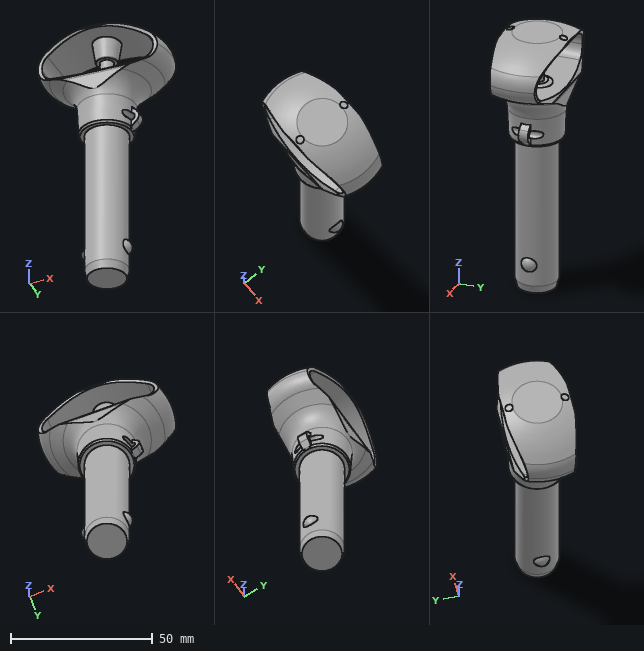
import cadquery as cq
import math


shank_radius = 8.0
shank_length = 59.0
tip_radius = 7.1
tip_height = 3.3
ball_radius = 3.1
ball_reach = 9.6
ball_height = -47.7

collar_height = 11.4
collar_top_radius = 10.65
collar_bottom_radius = 10.15
collar_chamfer_width = 0.55
collar_chamfer_height = 0.85

handle_top = 40.5
crown_flat_radius = 9.0
crown_mid = (16.4, handle_top - 2.88)
shoulder_edge = (22.2, handle_top - 6.7)
shoulder_mid = (23.9, handle_top - 9.1)
rim_radius = 24.5
rim_height = handle_top - 12.1
rim_lower_mid = (23.45, handle_top - 15.8)
rim_lower_edge = (20.4, handle_top - 18.4)
neck_edge = (15.6, handle_top - 21.3)
neck_mid = (12.35, handle_top - 24.5)

handle_half_depth = 12.4
grip_hollow_radius = 17.5
waist_half_depth = 8.5
waist_height = handle_top - 12.7
hollow_end_height = handle_top - 17.2
envelope_half_length = 25.5
lip_half_depth = 11.55
lip_top = handle_top - 19.9
lip_bottom = handle_top - 20.5
cheek_half_depth = 11.15

window_top = handle_top - 2.0
window_top_radius = 34.0
window_bottom = handle_top - 19.5
window_bottom_radius = 73.0
window_half_width = 21.3
window_side_height = handle_top - 12.7
window_upper_x = 19.0
window_side_upper_mid = (20.95, handle_top - 10.0)
window_lower_x = 17.7
window_side_lower_mid = (20.45, handle_top - 15.3)

stem_radius = 2.55
button_top_radius = 5.25
button_bottom_radius = 4.1
button_top = handle_top - 2.3
button_bottom = handle_top - 10.1
button_chamfer_width = 0.2
button_chamfer_height = 0.5
seat_bottom_radius = 5.7
seat_top_radius = 4.0
seat_top = handle_top - 18.6
joint_overlap = 1.0

crown_socket_radius = 1.4
crown_socket_offset = 10.15
crown_socket_floor_height = handle_top - 0.42
crown_socket_tilt = 15.0
crown_socket_cut_length = 1.2

lug_center = (9.95, 5.0)
lug_radius = 3.1
lug_hole_radius = 1.5
lug_thickness = 3.6


def arc_height(radius, half_chord):
    """Sagitta of an arc at a given distance from its middle."""
    return radius - math.sqrt(radius**2 - half_chord**2)


def mirrored(point):
    x, z = point
    return (-x, z)


def make_shank():
    shank = (
        cq.Workplane("XZ")
        .moveTo(0, -shank_length)
        .lineTo(tip_radius, -shank_length)
        .lineTo(shank_radius, tip_height - shank_length)
        .lineTo(shank_radius, collar_height)
        .lineTo(0, collar_height)
        .close()
        .revolve(360, (0, 0, 0), (0, 1, 0))
    )
    for side in (-1, 1):
        center = (side * (ball_reach - ball_radius), 0, ball_height)
        shank = shank.union(cq.Workplane("XY").sphere(ball_radius).translate(center))
    return shank


def make_handle_blank():
    """Collar and handle as one body of revolution."""
    return (
        cq.Workplane("YZ")
        .moveTo(0, 0)
        .lineTo(collar_bottom_radius - collar_chamfer_width, 0)
        .lineTo(collar_bottom_radius, collar_chamfer_height)
        .lineTo(collar_top_radius, collar_height)
        .threePointArc(neck_mid, neck_edge)
        .lineTo(*rim_lower_edge)
        .threePointArc(rim_lower_mid, (rim_radius, rim_height))
        .threePointArc(shoulder_mid, shoulder_edge)
        .threePointArc(crown_mid, (crown_flat_radius, handle_top))
        .lineTo(0, handle_top)
        .close()
        .revolve(360, (0, 0, 0), (0, 1, 0))
    )


def make_side_envelope():
    """Prism along X whose YZ section gives the hollowed front and back of the handle."""
    def hollow_half_depth(height):
        return waist_half_depth + arc_height(grip_hollow_radius, height - waist_height)

    hollow_depth_gain = handle_half_depth - waist_half_depth
    hollow_top = waist_height + math.sqrt(
        grip_hollow_radius**2 - (grip_hollow_radius - hollow_depth_gain) ** 2
    )
    hollow_end = (hollow_half_depth(hollow_end_height), hollow_end_height)
    half_section = (
        cq.Workplane("YZ")
        .moveTo(0, 0)
        .lineTo(cheek_half_depth, 0)
        .lineTo(cheek_half_depth, collar_height)
        .lineTo(lip_half_depth, lip_bottom)
        .lineTo(lip_half_depth, lip_top)
        .lineTo(*hollow_end)
        .threePointArc((waist_half_depth, waist_height), (handle_half_depth, hollow_top))
        .lineTo(handle_half_depth, handle_top)
        .lineTo(0, handle_top)
        .close()
        .extrude(envelope_half_length, both=True)
    )
    return half_section.union(half_section.mirror("XZ"))


def make_window():
    upper_z = window_top - arc_height(window_top_radius, window_upper_x)
    lower_z = window_bottom + arc_height(window_bottom_radius, window_lower_x)
    return (
        cq.Workplane("XZ")
        .moveTo(-window_upper_x, upper_z)
        .threePointArc((0, window_top), (window_upper_x, upper_z))
        .threePointArc(window_side_upper_mid, (window_half_width, window_side_height))
        .threePointArc(window_side_lower_mid, (window_lower_x, lower_z))
        .threePointArc((0, window_bottom), (-window_lower_x, lower_z))
        .threePointArc(mirrored(window_side_lower_mid), (-window_half_width, window_side_height))
        .threePointArc(mirrored(window_side_upper_mid), (-window_upper_x, upper_z))
        .close()
        .extrude(handle_half_depth, both=True)
    )


def make_button():
    """Seat, stem and button, joined from below the window to the crown."""
    seat_base = window_bottom - joint_overlap
    crown_embed = window_top + joint_overlap
    return (
        cq.Workplane("XZ")
        .moveTo(0, seat_base)
        .lineTo(seat_bottom_radius, seat_base)
        .lineTo(seat_bottom_radius, window_bottom)
        .lineTo(seat_top_radius, seat_top)
        .lineTo(stem_radius, seat_top)
        .lineTo(stem_radius, button_bottom)
        .lineTo(button_bottom_radius - button_chamfer_width, button_bottom)
        .lineTo(button_bottom_radius, button_bottom + button_chamfer_height)
        .lineTo(button_top_radius, button_top)
        .lineTo(button_top_radius, crown_embed)
        .lineTo(0, crown_embed)
        .close()
        .revolve(360, (0, 0, 0), (0, 1, 0))
    )


def make_crown_socket(side):
    """Cutter for a flat-bottomed socket set square to the sloping crown."""
    return (
        cq.Workplane("XY")
        .circle(crown_socket_radius)
        .extrude(crown_socket_cut_length)
        .rotate((0, 0, 0), (1, 0, 0), -side * crown_socket_tilt)
        .translate((0, side * crown_socket_offset, crown_socket_floor_height))
    )


def make_lug():
    """Wedge-shaped ear on the +X side of the collar, with a rounded tip."""
    x, z = lug_center
    diagonal = lug_radius * math.sqrt(0.5)
    run = lug_radius * math.sqrt(2)
    return (
        cq.Workplane("XZ")
        .moveTo(x, z + run)
        .lineTo(x + diagonal, z + diagonal)
        .threePointArc((x + lug_radius, z), (x + diagonal, z - diagonal))
        .lineTo(x, z - run)
        .lineTo(x - lug_radius, z)
        .close()
        .extrude(lug_thickness / 2, both=True)
    )


def make_lug_hole():
    return (
        cq.Workplane("XZ")
        .center(*lug_center)
        .circle(lug_hole_radius)
        .extrude(collar_top_radius, both=True)
    )


handle = make_handle_blank().intersect(make_side_envelope()).cut(make_window())
result = handle.union(make_shank()).union(make_button())
for side in (-1, 1):
    result = result.cut(make_crown_socket(side))
result = result.union(make_lug()).cut(make_lug_hole())